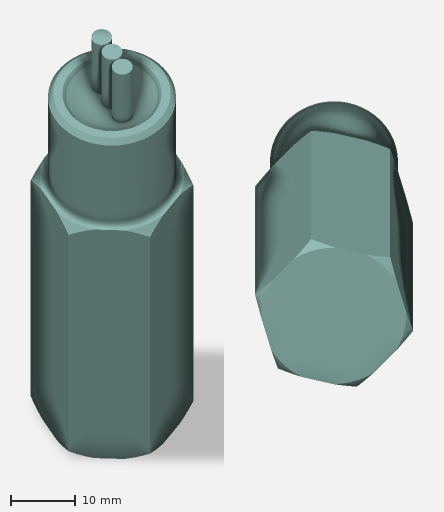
import cadquery as cq
import math

HEX_SIDES = 6
ACROSS_FLATS = 22.0
ACROSS_CORNERS = ACROSS_FLATS / math.cos(math.pi / HEX_SIDES)
BODY_HEIGHT = 55.0
CORNER_CHAMFER = 1.45

COLLAR_RADIUS = 10.0
COLLAR_HEIGHT = 20.0
COLLAR_TOP = BODY_HEIGHT + COLLAR_HEIGHT
ROOT_FILLET = 1.0
RIM_CHAMFER = 0.85

RECESS_RADIUS = 7.75
DISH_RADIUS = 7.25
LIP_DEPTH = 0.7
DISH_SAG = 1.25
DISH_EDGE_SLOPE = 34.0
DISH_EDGE = COLLAR_TOP - LIP_DEPTH
DISH_BOTTOM = DISH_EDGE - DISH_SAG

WIRE_COUNT = 3
WIRE_DIAMETER = 3.25
WIRE_PITCH = 3.45
WIRE_PROTRUSION = 10.0
WIRE_TOP = COLLAR_TOP + WIRE_PROTRUSION
WIRE_EMBED = 2.0


def make_body():
    """Hexagonal bar whose corners are turned off conically at both ends."""
    bar = cq.Workplane("XY").polygon(HEX_SIDES, ACROSS_CORNERS).extrude(BODY_HEIGHT)
    turned_envelope = (
        cq.Workplane("XY")
        .circle(ACROSS_CORNERS / 2)
        .extrude(BODY_HEIGHT)
        .edges("%CIRCLE")
        .chamfer(CORNER_CHAMFER)
    )
    return bar.intersect(turned_envelope)


def make_collar():
    """Turned collar with a filleted root, a chamfered rim and a dished end."""
    fillet_end = COLLAR_RADIUS + ROOT_FILLET
    fillet_top = BODY_HEIGHT + ROOT_FILLET
    fillet_mid_offset = ROOT_FILLET * math.sin(math.pi / 4)
    fillet_mid = (fillet_end - fillet_mid_offset, fillet_top - fillet_mid_offset)
    edge_slope = math.radians(DISH_EDGE_SLOPE)

    return (
        cq.Workplane("XZ")
        .moveTo(0, BODY_HEIGHT)
        .lineTo(fillet_end, BODY_HEIGHT)
        .threePointArc(fillet_mid, (COLLAR_RADIUS, fillet_top))
        .lineTo(COLLAR_RADIUS, COLLAR_TOP - RIM_CHAMFER)
        .lineTo(COLLAR_RADIUS - RIM_CHAMFER, COLLAR_TOP)
        .lineTo(RECESS_RADIUS, COLLAR_TOP)
        .lineTo(DISH_RADIUS, DISH_EDGE)
        .spline(
            [(0, DISH_BOTTOM)],
            tangents=[(-math.cos(edge_slope), -math.sin(edge_slope)), (-1, 0)],
            includeCurrent=True,
        )
        .close()
        .revolve(360, (0, 0, 0), (0, 1, 0))
    )


def make_wires():
    """Row of round wires, rooted below the bottom of the dish."""
    wire_root = DISH_BOTTOM - WIRE_EMBED
    return (
        cq.Workplane("XY", origin=(0, 0, wire_root))
        .rarray(WIRE_PITCH, WIRE_PITCH, WIRE_COUNT, 1)
        .circle(WIRE_DIAMETER / 2)
        .extrude(WIRE_TOP - wire_root)
    )


result = make_body().union(make_collar()).union(make_wires())